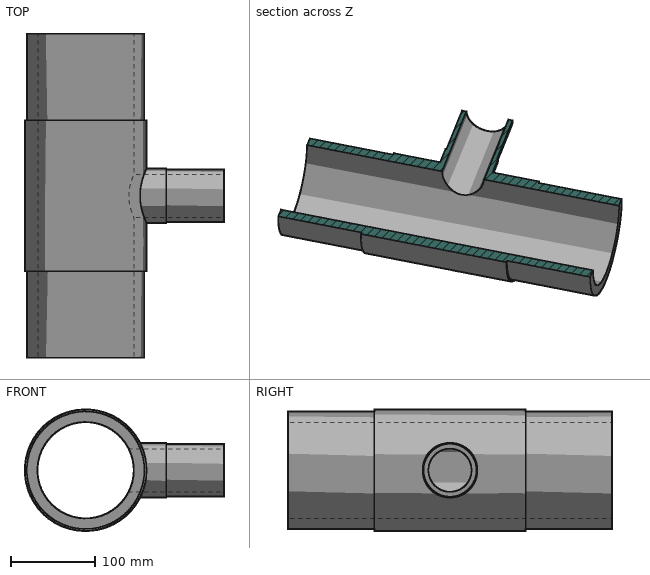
import cadquery as cq

pipe_length = 386.0
pipe_diameter = 140.0
pipe_bore = 114.4

body_length = 180.0
body_diameter = 145.12

branch_reach = 165.0
branch_diameter = 63.0
branch_bore = 51.4
spigot_length = 69.0
collar_diameter = 65.32
collar_reach = branch_reach - spigot_length


def cylinder_along_y(diameter, length):
    """Cylinder on the Y axis, centred on the origin."""
    return cq.Workplane("XZ").circle(diameter / 2).extrude(length / 2, both=True)


def cylinder_along_x(diameter, reach):
    """Cylinder on the X axis, from the main pipe axis out to x = reach."""
    return cq.Workplane("YZ").circle(diameter / 2).extrude(reach)


def outer_form():
    """Solid outside shape of the tee."""
    pipe = cylinder_along_y(pipe_diameter, pipe_length)
    body = cylinder_along_y(body_diameter, body_length)
    collar = cylinder_along_x(collar_diameter, collar_reach)
    branch = cylinder_along_x(branch_diameter, branch_reach)
    return pipe.union(body).union(collar).union(branch)


def passages():
    """Through bore of the main pipe joined by the bore of the branch."""
    main_bore = cylinder_along_y(pipe_bore, pipe_length)
    side_bore = cylinder_along_x(branch_bore, branch_reach)
    return main_bore.union(side_bore)


result = outer_form().cut(passages())